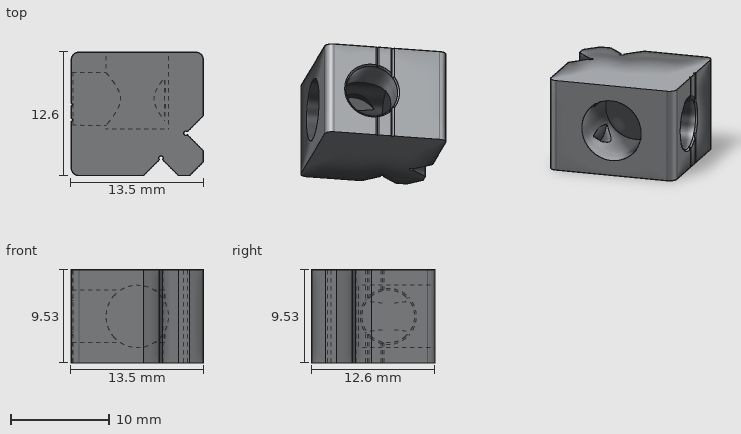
import cadquery as cq
import math

length = 13.46
width = 12.57
height = 9.53
corner_radius = 0.8

notch_depth = 1.79
notch_offset = 4.32
nose_chamfer = 1.41
relief_radius = 0.22

witness_grooves = [(7.24, 0.15), (5.68, 0.19)]

bore_radius = 5.36 / 2
bore_y = 7.81
bore_z = height / 2
mouth_chamfer = 0.17
floor_angle = 4.6

rod_radius = 6.35 / 2
rod_x = length / 2
rod_z = height / 2
rod_end_y = 4.76

floor_rim_half_height = 1.55
bore_depth = rod_x + math.sqrt(rod_radius**2 - floor_rim_half_height**2)


def make_block():
    """Extruded block outline with the nose, its notches and rounded corners."""
    outline = [
        (0, 0),
        (length - notch_offset - notch_depth, 0),
        (length - notch_offset, notch_depth),
        (length - notch_offset + notch_depth, 0),
        (length - nose_chamfer, 0),
        (length, nose_chamfer),
        (length, notch_offset - notch_depth),
        (length - notch_depth, notch_offset),
        (length, notch_offset + notch_depth),
        (length, width),
        (0, width),
    ]
    block = cq.Workplane("XY").polyline(outline).close().extrude(height)
    for x, y in [(0, 0), (0, width), (length, width)]:
        corner_edge = cq.selectors.NearestToPointSelector((x, y, height / 2))
        block = block.edges("|Z").edges(corner_edge).fillet(corner_radius)
    return block


def make_notch_reliefs():
    """Round vertical clearances at the roots of the two V notches."""
    roots = [(length - notch_offset, notch_depth), (length - notch_depth, notch_offset)]
    return cq.Workplane("XY").pushPoints(roots).circle(relief_radius).extrude(height)


def make_witness_groove(y, depth):
    """Vertical V groove cut into the -X face."""
    section = [(0, y - depth), (depth, y), (0, y + depth)]
    return cq.Workplane("XY").polyline(section).close().extrude(height)


def make_side_bore():
    """Bore with a chamfered mouth and a shallow conical floor."""
    floor_drop = bore_radius * math.tan(math.radians(floor_angle))
    half_section = [
        (0, 0),
        (0, bore_radius + mouth_chamfer),
        (mouth_chamfer, bore_radius),
        (bore_depth, bore_radius),
        (bore_depth + floor_drop, 0),
    ]
    bore = cq.Workplane("XY").polyline(half_section).close().revolve(360, (0, 0, 0), (1, 0, 0))
    return bore.translate((0, bore_y, bore_z))


def make_rod_hole():
    """Flat bottomed hole from the +Y face, reaching past the side bore."""
    hole_plane = cq.Workplane("XZ", origin=(rod_x, width, rod_z))
    return hole_plane.circle(rod_radius).extrude(width - rod_end_y)


result = make_block().cut(make_notch_reliefs())
for groove_y, groove_depth in witness_grooves:
    result = result.cut(make_witness_groove(groove_y, groove_depth))
result = result.cut(make_side_bore()).cut(make_rod_hole())